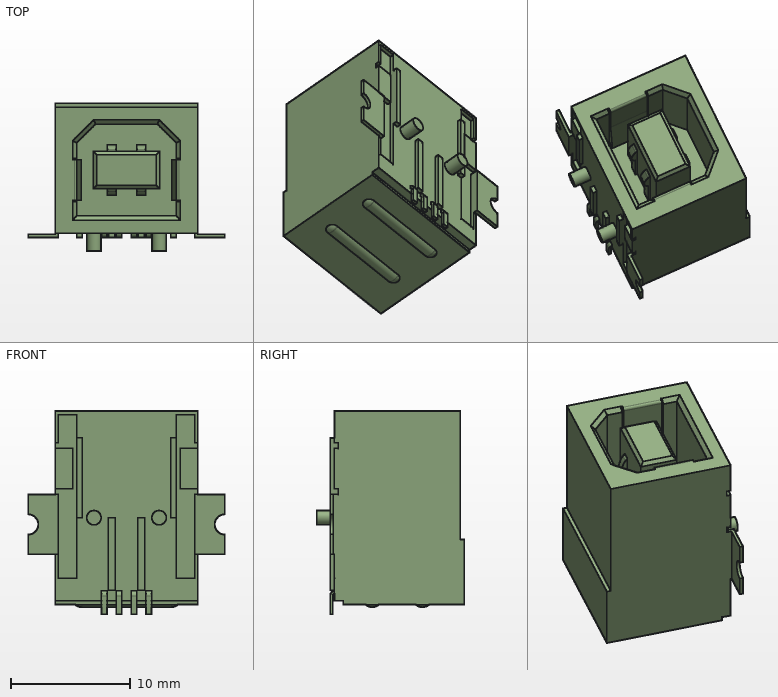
import cadquery as cq
import math


SIDES = (-1, 1)

top = 17.1
width = 12.0
upper_depth = 10.58
lower_depth = 10.93
back_step_z = 6.3
bottom = 0.82
foot_step = 0.32
foot_step_depth = 0.75

cavity_half_width = 4.17
cavity_front = 1.47
cavity_back = 9.17
cavity_corner_x = 2.6
cavity_corner_y = 7.61
cavity_floor = 8.2
mouth_chamfer = 0.36

tongue_half_width = 2.79
tongue_front = 3.73
tongue_back = 6.89
tongue_top = 16.5
tongue_chamfer = 0.29

contact_spacing = 2.48
contact_width = 0.72
contact_thickness = 0.19
contact_bulge = 0.53
contact_top = 14.36
contact_bulge_length = 2.22

groove_front = 2.67
groove_back = 6.3
spring_gap = 0.12
spring_round = 0.22
spring_bend_z = 13.0
spring_lean = 0.36

standoff = 0.36
channel_inner = 4.19
channel_outer = 5.73
channel_bottom = 3.03
channel_top = 16.75
channel_depth = 0.35
window_bottom = 10.07
window_top = 14.42
panel_inner = 4.51
panel_bottom = 10.55
panel_top = 13.95
tab_span = 16.5
tab_height = 5.03
tab_thickness = 0.29
tab_notch_radius = 0.84

outer_rib_width = 0.48
outer_rib_top = 14.83
inner_rib_x = 1.23
inner_rib_width = 0.56
inner_rib_bottom = 2.02
post_x = 2.74
post_z = 8.12
post_diameter = 1.21
post_length = 1.49

lead_pitch = 1.25
lead_count = 4
lead_width = 0.48
lead_thickness = 0.24
lead_bend_radius = 0.46
lead_bend_z = 1.55

bar_positions_y = (3.18, 7.4)
bar_half_length = 3.76
bar_radius = 0.77
bar_drop = 0.22


def box(x_range, y_range, z_range):
    """Box between two opposite corners; the ends of each range may come in any order."""
    x0, x1 = sorted(x_range)
    y0, y1 = sorted(y_range)
    z0, z1 = sorted(z_range)
    return cq.Workplane("XY").box(x1 - x0, y1 - y0, z1 - z0, centered=False).translate((x0, y0, z0))


def make_housing():
    """Side profile in YZ with the thicker lower back and the relieved front bottom edge."""
    profile = [
        (0, top),
        (upper_depth, top),
        (upper_depth, back_step_z),
        (lower_depth, back_step_z),
        (lower_depth, bottom),
        (foot_step_depth, bottom),
        (foot_step_depth, bottom + foot_step),
        (0, bottom + foot_step),
    ]
    return cq.Workplane("YZ").polyline(profile).close().extrude(width / 2, both=True)


def make_cavity():
    """Space for the plug: a rectangle with two cut corners, flared 45 degrees at the mouth."""
    outline = [
        (-cavity_half_width, cavity_front),
        (cavity_half_width, cavity_front),
        (cavity_half_width, cavity_corner_y),
        (cavity_corner_x, cavity_back),
        (-cavity_corner_x, cavity_back),
        (-cavity_half_width, cavity_corner_y),
    ]
    base = cq.Workplane("XY", origin=(0, 0, cavity_floor)).polyline(outline).close()
    cavity = base.extrude(top - cavity_floor)
    rim = cq.Workplane("XY", origin=(0, 0, top)).polyline(outline).close()
    rim = rim.offset2D(mouth_chamfer, "intersection")
    flare_angle = 45
    flare = rim.extrude(-mouth_chamfer, taper=flare_angle)
    return cavity.union(flare)


def make_tongue():
    block = box(
        (-tongue_half_width, tongue_half_width),
        (tongue_front, tongue_back),
        (cavity_floor, tongue_top),
    )
    return block.faces(">Z").chamfer(tongue_chamfer)


def make_contact(x, direction):
    """Contact strip on one long face of the tongue, with a bowed stretch near its top."""
    face_y = tongue_back if direction > 0 else tongue_front
    bow_top = contact_top - contact_thickness
    bow_bottom = bow_top - contact_bulge_length
    bow_middle = (bow_top + bow_bottom) / 2
    surface_y = face_y + direction * contact_thickness
    return (
        cq.Workplane("YZ", origin=(x, 0, 0))
        .moveTo(face_y, cavity_floor)
        .lineTo(face_y, contact_top)
        .lineTo(surface_y, bow_top)
        .threePointArc((face_y + direction * contact_bulge, bow_middle), (surface_y, bow_bottom))
        .lineTo(surface_y, cavity_floor)
        .close()
        .extrude(contact_width / 2, both=True)
    )


def make_spring_groove(side):
    groove_x = cavity_half_width + mouth_chamfer
    return box((0, side * groove_x), (groove_front, groove_back), (cavity_floor, top))


def make_spring(side):
    """Spring flush with the cavity wall, rounded over at the top then leaning inward to the floor."""
    back_x = cavity_half_width + mouth_chamfer
    front_x = cavity_half_width
    spring_front = groove_front + spring_gap
    spring_back = groove_back - spring_gap
    round_middle = spring_round * (1 - math.sqrt(0.5))
    return (
        cq.Workplane("XZ", origin=(0, spring_back, 0))
        .moveTo(side * back_x, cavity_floor)
        .lineTo(side * back_x, top)
        .lineTo(side * (front_x + spring_round), top)
        .threePointArc(
            (side * (front_x + round_middle), top - round_middle),
            (side * front_x, top - spring_round),
        )
        .lineTo(side * front_x, spring_bend_z)
        .lineTo(side * (front_x - spring_lean), cavity_floor)
        .close()
        .extrude(spring_back - spring_front)
    )


def make_channel(side):
    """Channel in the mounting face, open to the side wall over the window height."""
    depth = (0, channel_depth)
    channel = box((side * channel_inner, side * channel_outer), depth, (channel_bottom, channel_top))
    window = box((side * channel_outer, side * width / 2), depth, (window_bottom, window_top))
    return channel.union(window)


def make_panel(side):
    """Panel that fills part of the channel flush with the mounting face."""
    x_range = (side * panel_inner, side * width / 2)
    return box(x_range, (0, channel_depth), (panel_bottom, panel_top))


def make_tab(side):
    """L-shaped mounting tab with a half-round notch in its outer edge."""
    z_range = (window_bottom - tab_height, window_bottom)
    leg = box((side * channel_outer, side * width / 2), (-standoff, channel_depth), z_range)
    foot = box(
        (side * channel_outer, side * tab_span / 2),
        (-standoff, tab_thickness - standoff),
        z_range,
    )
    notch = (
        cq.Workplane("XZ", origin=(side * tab_span / 2, 0, window_bottom - tab_height / 2))
        .circle(tab_notch_radius)
        .extrude(standoff)
    )
    return leg.union(foot.cut(notch))


def make_ribs(side):
    """Outer and inner standoff ribs on one half of the mounting face."""
    outer_x = (side * channel_inner, side * (channel_inner - outer_rib_width))
    outer = box(outer_x, (-standoff, 0), (post_z, outer_rib_top))
    inner_middle = side * inner_rib_x
    inner_x = (inner_middle - inner_rib_width / 2, inner_middle + inner_rib_width / 2)
    inner = box(inner_x, (-standoff, 0), (inner_rib_bottom, post_z))
    return outer.union(inner)


def make_post(side):
    center = (side * post_x, 0, post_z)
    return cq.Workplane("XZ", origin=center).circle(post_diameter / 2).extrude(post_length)


def make_lead(x):
    """Lead that leaves the mounting face horizontally and bends down to Z = 0."""
    outer_y = -standoff
    inner_y = outer_y + lead_thickness
    center_y = outer_y + lead_bend_radius
    inner_radius = lead_bend_radius - lead_thickness
    diagonal = math.sqrt(0.5)
    return (
        cq.Workplane("YZ", origin=(x, 0, 0))
        .moveTo(outer_y, 0)
        .lineTo(outer_y, lead_bend_z)
        .threePointArc(
            (center_y - lead_bend_radius * diagonal, lead_bend_z + lead_bend_radius * diagonal),
            (center_y, lead_bend_z + lead_bend_radius),
        )
        .lineTo(center_y, lead_bend_z + inner_radius)
        .threePointArc(
            (center_y - inner_radius * diagonal, lead_bend_z + inner_radius * diagonal),
            (inner_y, lead_bend_z),
        )
        .lineTo(inner_y, 0)
        .close()
        .extrude(lead_width / 2, both=True)
    )


def make_bottom_bar(y):
    """Round bar with ball ends, sunk into the housing so only a shallow dome shows."""
    center_z = bottom - bar_drop + bar_radius
    bar = (
        cq.Workplane("YZ", origin=(0, y, center_z))
        .circle(bar_radius)
        .extrude(bar_half_length, both=True)
    )
    for side in SIDES:
        ball = cq.Workplane("XY").sphere(bar_radius)
        bar = bar.union(ball.translate((side * bar_half_length, y, center_z)))
    return bar


result = make_housing().cut(make_cavity())
for side in SIDES:
    result = result.cut(make_spring_groove(side))
    result = result.cut(make_channel(side))

result = result.union(make_tongue())
for side in SIDES:
    result = result.union(make_spring(side))
    for direction in SIDES:
        result = result.union(make_contact(side * contact_spacing / 2, direction))

for side in SIDES:
    result = result.union(make_panel(side))
    result = result.union(make_tab(side))
    result = result.union(make_ribs(side))
    result = result.union(make_post(side))

for index in range(lead_count):
    result = result.union(make_lead((index - (lead_count - 1) / 2) * lead_pitch))

for bar_y in bar_positions_y:
    result = result.union(make_bottom_bar(bar_y))